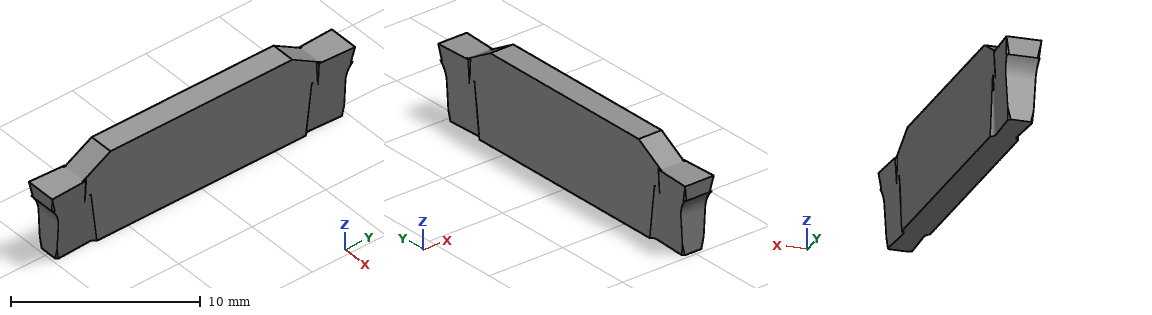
import cadquery as cq
import math

length = 20.62
height = 5.55
cutting_width = 1.95
body_width = 1.57
head_height = 4.47
margin = 0.41

half_length = length / 2
half_cut = cutting_width / 2
half_body = body_width / 2

top_end_y = 6.19
ramp_angle = math.radians(30)
ramp_foot_y = top_end_y + (height - head_height) / math.tan(ramp_angle)
ramp_fillet = 0.23
relief_y = 10.19
relief_z = 3.5
stem_y = 9.77
stem_top_z = 2.43
arc_radius = math.hypot(relief_y - stem_y, relief_z - stem_top_z) ** 2 / (2 * (relief_y - stem_y))
arc_mid_angle = math.asin((relief_z - stem_top_z) / arc_radius) / 2

back_taper = 0.046
down_taper = 0.06

head_rear_y = 7.94
shoulder_top_y = 7.84
shoulder_bottom_y = 7.9
shoulder_bottom_z = 2.93

hollow_bottom_y = 7.46
hollow_top_y = 7.59
runout_bottom_y = 7.11
runout_top_y = 7.5
hollow_top_z = head_height - (half_cut - half_body - back_taper * (half_length - hollow_top_y)) / down_taper
runout_sag = 0.15

tip_chamfer = 0.12
foot_chamfer = 0.12
foot_chamfer_height = 0.68
sliver = 0.002


def flank_x(y, z):
    """Half width of the head at a given place."""
    return half_cut - back_taper * (half_length - y) - down_taper * (head_height - z)


def loft_levels(sections):
    """Straight loft through closed wires."""
    return cq.Workplane(cq.Solid.makeLoft(sections, True))


def polygon_at(points, z):
    return cq.Wire.makePolygon([cq.Vector(x, y, z) for x, y in points], close=True)


def side_profile(width):
    """Whole side outline, extruded to a width centred on X = 0."""
    arc_mid_y = stem_y + arc_radius * (1 - math.cos(arc_mid_angle))
    arc_mid_z = stem_top_z + arc_radius * math.sin(arc_mid_angle)
    half_profile = (
        cq.Workplane("YZ")
        .moveTo(0, 0)
        .lineTo(stem_y, 0)
        .lineTo(stem_y, stem_top_z)
        .threePointArc((arc_mid_y, arc_mid_z), (relief_y, relief_z))
        .lineTo(half_length, head_height)
        .lineTo(ramp_foot_y, head_height)
        .lineTo(top_end_y, height)
        .lineTo(0, height)
        .close()
        .extrude(width / 2, both=True)
    )
    foot_edge = cq.selectors.BoxSelector(
        (-width, ramp_foot_y - sliver, head_height - sliver),
        (width, ramp_foot_y + sliver, head_height + sliver),
    )
    half_profile = half_profile.edges(foot_edge).fillet(ramp_fillet)
    return half_profile.union(half_profile.mirror("XZ"))


def head_section(z, shoulder_y):
    front_y = half_length + margin
    right = [
        (flank_x(front_y, z), front_y),
        (flank_x(head_rear_y, z), head_rear_y),
        (min(flank_x(shoulder_y, z), half_body), shoulder_y),
    ]
    left = [(-x, y) for x, y in reversed(right)]
    return polygon_at(right + left, z)


def head():
    """Tapered head at +Y, before it is trimmed to the side outline."""
    middle = head_section(shoulder_bottom_z, shoulder_bottom_y)
    lower = loft_levels([head_section(0, shoulder_bottom_y), middle])
    upper = loft_levels([middle, head_section(head_height, shoulder_top_y)])
    return lower.union(upper)


def hollow_section(z, hollow_y, runout_y):
    front_y = half_length + margin
    outer_x = half_cut + margin
    flank_end = cq.Vector(flank_x(hollow_y, z), hollow_y, z)
    runout_end = cq.Vector(half_body, runout_y, z)
    chord = runout_end - flank_end
    bulge = cq.Vector(-chord.y, chord.x, 0) * -runout_sag
    runout_mid = (flank_end + runout_end) * 0.5 + bulge
    front = cq.Vector(flank_x(front_y, z), front_y, z)
    outer_front = cq.Vector(outer_x, front_y, z)
    outer_rear = cq.Vector(outer_x, runout_y, z)
    return cq.Wire.assembleEdges([
        cq.Edge.makeLine(front, flank_end),
        cq.Edge.makeThreePointArc(flank_end, runout_mid, runout_end),
        cq.Edge.makeLine(runout_end, outer_rear),
        cq.Edge.makeLine(outer_rear, outer_front),
        cq.Edge.makeLine(outer_front, front),
    ])


def hollow():
    """Cutter for the side hollow at +X, +Y."""
    return loft_levels([
        hollow_section(0, hollow_bottom_y, runout_bottom_y),
        hollow_section(hollow_top_z, hollow_top_y, runout_top_y),
    ])


def corner_cutter(levels):
    """Wedge at the +X, +Y corner; each level holds height, front Y and chamfer width."""
    sections = []
    for z, front_y, width in levels:
        x = flank_x(front_y, z)
        corner = [
            (x - width - margin, front_y + margin),
            (x + margin, front_y - width - margin),
            (x + margin, front_y + margin),
        ]
        sections.append(polygon_at(corner, z))
    return loft_levels(sections)


def in_all_corners(shape):
    both_sides = shape.union(shape.mirror("YZ"))
    return both_sides.union(both_sides.mirror("XZ"))


body = side_profile(body_width).cut(in_all_corners(hollow()))

head_end = head().intersect(side_profile(cutting_width + margin))
result = body.union(head_end).union(head_end.mirror("XZ"))

tip = corner_cutter([(relief_z, relief_y, tip_chamfer), (head_height, half_length, sliver)])
foot = corner_cutter([(0, stem_y, foot_chamfer), (foot_chamfer_height, stem_y, sliver)])
result = result.cut(in_all_corners(tip)).cut(in_all_corners(foot)).clean()